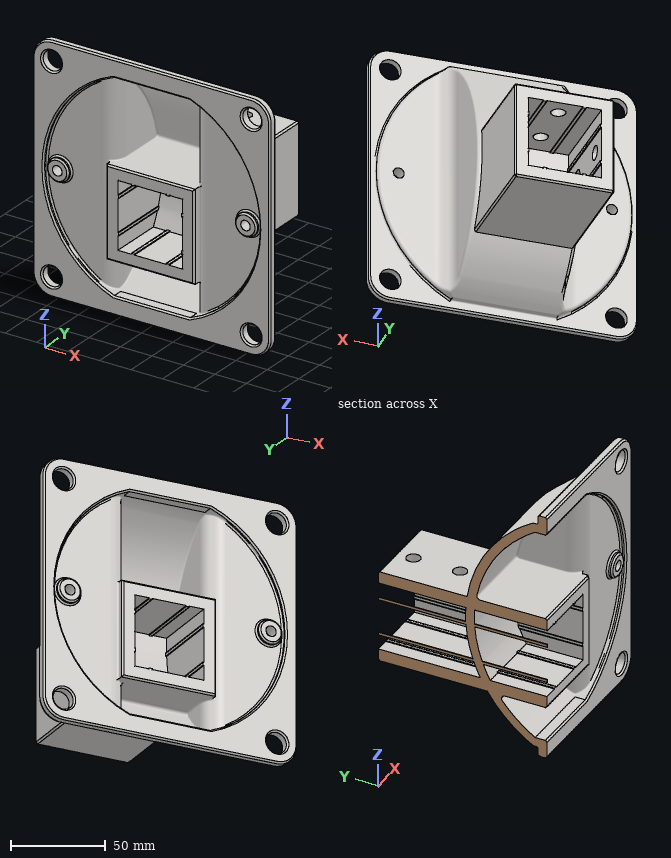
import cadquery as cq
import math

plate_size = 151.0
plate_thickness = 5.6
corner_radius = 12.1
edge_chamfer = 1.0
mount_hole_diameter = 12.0
mount_hole_offset = plate_size / 2 - corner_radius

shell_thickness = 5.6
base_back = 8.6
base_half_width = 71.7
base_foot_fillet = 0.9
ridge_half_width = 29.7
ridge_half_height = 69.9
ridge_foot_radius = 10.0
dome_depth = 48.9
dome_radius = 80.5
dome_center = dome_depth - dome_radius
housing_edge_round = 2.0

cavity_floor = base_back - shell_thickness
cavity_radius = 68.5
cavity_half_width = ridge_half_width - shell_thickness
cavity_half_height = 64.2
cavity_dome_radius = dome_radius - shell_thickness
cavity_edge_round = 1.0

boss_offset = 59.8
boss_diameter = 14.0
boss_hole_diameter = 6.0
boss_centers = [(-boss_offset, 0), (boss_offset, 0)]

tube_length = 101.0
tube_size = 56.0
tube_x = -0.8
tube_z = -15.9
tube_dome_fillet = 2.0
socket_size = 41.0
rib_width = 2.0
rib_height = 0.53
rib_offset = 11.0
screw_hole_diameter = 8.0
screw_hole_depths = (62.7, 90.6)

tolerance = 0.02


def plane_at(y, x=0.0, z=0.0):
    """Workplane with local axes X and Z; a negative extrude goes toward +Y."""
    return cq.Workplane("XZ", origin=(x, y, z))


def tube_prism(width, height, x=0.0, z=0.0):
    """Rectangular prism over the tube length, placed relative to the tube axis."""
    return plane_at(0, tube_x + x, tube_z + z).rect(width, height).extrude(-tube_length)


def dome_cylinder(radius):
    return (
        cq.Workplane("YZ", origin=(-plate_size / 2, dome_center, 0))
        .circle(radius)
        .extrude(plate_size)
    )


def domed_ridge(half_width, floor, radius):
    """Slab up to the floor and a ridge along Z with flared feet, both cut off by the dome."""
    foot_half_width = half_width + ridge_foot_radius
    foot_top = floor + ridge_foot_radius
    arc_inset = ridge_foot_radius * (1 - math.sqrt(0.5))
    profile = (
        cq.Workplane("XY", origin=(0, 0, -plate_size / 2))
        .moveTo(-plate_size / 2, 0)
        .lineTo(-plate_size / 2, floor)
        .lineTo(-foot_half_width, floor)
        .threePointArc((-half_width - arc_inset, floor + arc_inset), (-half_width, foot_top))
        .lineTo(-half_width, tube_length)
        .lineTo(half_width, tube_length)
        .lineTo(half_width, foot_top)
        .threePointArc((half_width + arc_inset, floor + arc_inset), (foot_half_width, floor))
        .lineTo(plate_size / 2, floor)
        .lineTo(plate_size / 2, 0)
        .close()
        .extrude(plate_size)
    )
    return profile.intersect(dome_cylinder(radius))


def plate():
    return (
        plane_at(0)
        .rect(plate_size, plate_size)
        .extrude(-plate_thickness)
        .edges("|Y")
        .fillet(corner_radius)
        .faces("<Y or >Y")
        .chamfer(edge_chamfer)
    )


def housing():
    """Solid housing with bulging sides, straight ends and rounded rear edges."""
    outline = (
        plane_at(0)
        .moveTo(-ridge_half_width, ridge_half_height)
        .lineTo(ridge_half_width, ridge_half_height)
        .threePointArc((base_half_width, 0), (ridge_half_width, -ridge_half_height))
        .lineTo(-ridge_half_width, -ridge_half_height)
        .threePointArc((-base_half_width, 0), (-ridge_half_width, ridge_half_height))
        .close()
        .extrude(-tube_length)
    )
    body = domed_ridge(ridge_half_width, base_back, dome_radius).intersect(outline)
    rear_edges = body.edges().filter(lambda edge: edge.BoundingBox().ymin > plate_thickness)
    return rear_edges.fillet(housing_edge_round)


def is_base_foot_edge(edge):
    """Edge where the housing meets the back of the plate, inside the plate rim."""
    box = edge.BoundingBox()
    center = edge.Center()
    on_back = box.ylen < tolerance and abs(center.y - plate_thickness) < tolerance
    return on_back and math.hypot(center.x, center.z) < base_half_width


def is_tube_dome_edge(edge):
    """Straight edge across the cavity where the tube meets the dome."""
    center = edge.Center()
    on_tube = abs(abs(center.z - tube_z) - tube_size / 2) < tolerance
    behind_feet = center.y > cavity_floor + ridge_foot_radius
    return edge.geomType() == "LINE" and on_tube and behind_feet and abs(center.x) < tolerance


def is_cavity_side_edge(edge):
    """Edge at or behind the cavity floor, other than those running straight across."""
    behind_floor = edge.BoundingBox().ymin > cavity_floor - tolerance
    return behind_floor and abs(edge.Center().x) > tolerance


def cavity():
    """Hollow inside the housing, leaving the front end of the tube standing."""
    tube_front = tube_prism(tube_size, tube_size).faces("<Y").chamfer(edge_chamfer)
    outline = plane_at(0).circle(cavity_radius).extrude(-tube_length)
    end_limit = plane_at(0).rect(plate_size, 2 * cavity_half_height).extrude(-tube_length)
    space = domed_ridge(cavity_half_width, cavity_floor, cavity_dome_radius)
    space = space.intersect(outline).intersect(end_limit).cut(tube_front)
    space = space.edges().filter(is_tube_dome_edge).fillet(tube_dome_fillet)
    space = space.edges().filter(is_cavity_side_edge).fillet(cavity_edge_round)

    mouth = (
        plane_at(0)
        .circle(cavity_radius + edge_chamfer)
        .extrude(-edge_chamfer, taper=45)
    )
    mouth_limit = (
        plane_at(0)
        .rect(2 * plate_size, 2 * (cavity_half_height + edge_chamfer))
        .extrude(-edge_chamfer, taper=45)
    )
    return space.union(mouth.intersect(mouth_limit).cut(tube_front))


def bosses():
    posts = (
        plane_at(0)
        .pushPoints(boss_centers)
        .circle(boss_diameter / 2)
        .extrude(-cavity_floor)
        .faces("<Y")
        .chamfer(edge_chamfer)
    )
    feet = (
        plane_at(cavity_floor)
        .pushPoints(boss_centers)
        .circle(boss_diameter / 2 + edge_chamfer)
        .extrude(edge_chamfer, taper=45)
    )
    return posts.union(feet)


def sockets():
    """Ribbed square sockets in both tube ends, with the dome shell left between them."""
    space = tube_prism(socket_size, socket_size)
    for side in (-socket_size / 2, socket_size / 2):
        for place in (-rib_offset, rib_offset):
            space = space.cut(tube_prism(rib_width, 2 * rib_height, place, side))
            space = space.cut(tube_prism(2 * rib_height, rib_width, side, place))
    wall = dome_cylinder(dome_radius).cut(dome_cylinder(cavity_dome_radius))
    return space.cut(wall)


def tube_screw_holes():
    """Holes through the -X and +Z walls of the tube."""
    half_size = tube_size / 2
    side_holes = (
        cq.Workplane("YZ", origin=(tube_x, 0, tube_z))
        .pushPoints([(depth, 0) for depth in screw_hole_depths])
        .circle(screw_hole_diameter / 2)
        .extrude(-half_size)
    )
    top_holes = (
        cq.Workplane("XY", origin=(tube_x, 0, tube_z))
        .pushPoints([(0, depth) for depth in screw_hole_depths])
        .circle(screw_hole_diameter / 2)
        .extrude(half_size)
    )
    return side_holes.union(top_holes)


def plate_holes():
    """Corner mounting holes with chamfered mouths, and the holes through the bosses."""
    corners = plane_at(0).rect(2 * mount_hole_offset, 2 * mount_hole_offset, forConstruction=True).vertices()
    mount_holes = corners.circle(mount_hole_diameter / 2).extrude(-plate_thickness)
    mouths = corners.circle(mount_hole_diameter / 2 + edge_chamfer).extrude(-edge_chamfer, taper=45)
    boss_holes = (
        plane_at(0)
        .pushPoints(boss_centers)
        .circle(boss_hole_diameter / 2)
        .extrude(-base_back)
    )
    return mount_holes.union(mouths).union(boss_holes)


frame = plate().union(housing())
frame = frame.edges().filter(is_base_foot_edge).fillet(base_foot_fillet)
tube = tube_prism(tube_size, tube_size).edges().chamfer(edge_chamfer)
body = frame.union(tube).cut(cavity()).union(bosses())
result = body.cut(sockets()).cut(tube_screw_holes()).cut(plate_holes())